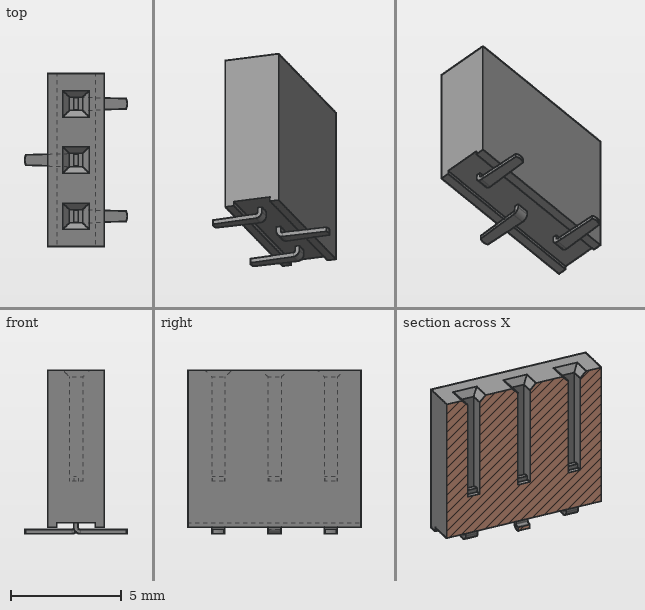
import cadquery as cq
import math

housing_length = 7.82
housing_width = 2.56
total_height = 7.4
standoff = 0.3
channel_width = 1.735
channel_depth = 0.2

contact_count = 3
pitch = 2.54
mouth_size = 1.2
socket_size = 0.595
mouth_depth = (mouth_size - socket_size) / 2
socket_depth = 5.005
socket_floor = total_height - socket_depth

lead_thickness = 0.2
lead_width = 0.6
lead_span = 4.64
foot_reach = lead_span / 2
bend_radius = 0.085
foot_end_width = 0.48
foot_end_bulge = 0.055
tip_width = 0.53
tip_height = 0.2


def make_housing():
    """Block with a channel along the underside, open at both ends."""
    block = cq.Workplane("XY").box(
        housing_width, housing_length, total_height - standoff, centered=(True, True, False)
    )
    channel = cq.Workplane("XY").box(
        channel_width, housing_length, channel_depth, centered=(True, True, False)
    )
    return block.cut(channel).translate((0, 0, standoff))


def make_socket():
    """Square hole with a tapered mouth."""
    hole = (
        cq.Workplane("XY", origin=(0, 0, socket_floor))
        .rect(socket_size, socket_size)
        .extrude(socket_depth)
    )
    mouth = (
        cq.Workplane("XY", origin=(0, 0, total_height - mouth_depth))
        .rect(socket_size, socket_size)
        .workplane(offset=mouth_depth)
        .rect(mouth_size, mouth_size)
        .loft(ruled=True)
    )
    return hole.union(mouth)


def make_lead():
    """L-shaped strip whose foot points to +X, with a narrow tip standing in the socket."""
    half = lead_thickness / 2
    bend_x = half + bend_radius
    bend_z = lead_thickness + bend_radius
    diagonal = math.sqrt(0.5)
    outer_radius = bend_radius + lead_thickness
    outer_middle = (bend_x - outer_radius * diagonal, bend_z - outer_radius * diagonal)
    inner_middle = (bend_x - bend_radius * diagonal, bend_z - bend_radius * diagonal)
    strip = (
        cq.Workplane("XZ")
        .moveTo(-half, socket_floor)
        .lineTo(-half, bend_z)
        .threePointArc(outer_middle, (bend_x, 0))
        .lineTo(foot_reach, 0)
        .lineTo(foot_reach, lead_thickness)
        .lineTo(bend_x, lead_thickness)
        .threePointArc(inner_middle, (half, bend_z))
        .lineTo(half, socket_floor)
        .close()
        .extrude(lead_width / 2, both=True)
    )
    foot_end_x = foot_reach - foot_end_bulge
    plan = (
        cq.Workplane("XY")
        .moveTo(-half, -lead_width / 2)
        .lineTo(bend_x, -lead_width / 2)
        .lineTo(foot_end_x, -foot_end_width / 2)
        .threePointArc((foot_reach, 0), (foot_end_x, foot_end_width / 2))
        .lineTo(bend_x, lead_width / 2)
        .lineTo(-half, lead_width / 2)
        .close()
        .extrude(socket_floor)
    )
    tip = (
        cq.Workplane("XY", origin=(0, 0, socket_floor))
        .rect(lead_thickness, tip_width)
        .extrude(tip_height)
    )
    return strip.intersect(plan).union(tip)


result = make_housing()
socket = make_socket()
lead = make_lead()
for index in range(contact_count):
    contact_y = (index - (contact_count - 1) / 2) * pitch
    foot_turn = 180 * (index % 2)
    placed_lead = lead.rotate((0, 0, 0), (0, 0, 1), foot_turn).translate((0, contact_y, 0))
    result = result.cut(socket.translate((0, contact_y, 0))).union(placed_lead)